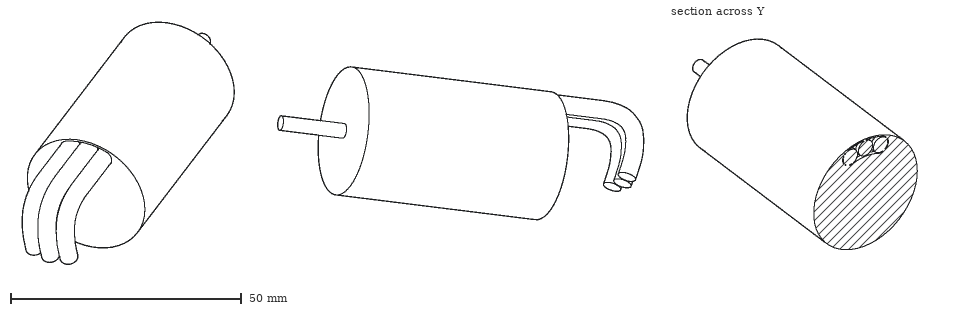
import cadquery as cq
import math

total_length = 84.5
body_diameter = 28.0
body_length = 47.1
rod_diameter = 3.2
rod_length = 14.9

wire_diameter = 4.0
wire_pitch = 4.05
wire_circle_radius = 11.5
wire_straight = 12.1
bend_drop = 5.8
end_drop = 14.5
end_setback = 1.9
end_angle = math.radians(19)

slot_clearance = 0.04
slot_depth = 1.7

wire_height = math.sqrt(wire_circle_radius**2 - wire_pitch**2)
middle_wire_offset = wire_circle_radius - wire_height

bend_reach = (total_length - rod_length - body_length - wire_straight
              - middle_wire_offset - wire_diameter / 2)


def cylinder_along_y(diameter, start_y, length, x=0, z=0):
    """Cylinder growing toward -Y from start_y."""
    return (
        cq.Workplane("XZ", origin=(x, start_y, z))
        .circle(diameter / 2)
        .extrude(length)
    )


def bent_wire(x, offset):
    """Straight wire ending in a hook, its centerline moved outward by offset."""
    start_y = -body_length + slot_depth
    bend_y = -body_length - wire_straight
    bend_z = wire_height + offset
    straight = cylinder_along_y(wire_diameter, start_y, start_y - bend_y, x, bend_z)

    turn_point = (x, bend_y - bend_reach - offset, wire_height - bend_drop)
    end_point = (
        x,
        bend_y - bend_reach + end_setback - offset * math.cos(end_angle),
        wire_height - end_drop - offset * math.sin(end_angle),
    )
    end_direction = (0, math.sin(end_angle), -math.cos(end_angle))
    centerline = cq.Workplane("XY").spline(
        [(x, bend_y, bend_z), turn_point, end_point],
        tangents=[(0, -1, 0), (0, 0, -1), end_direction],
    )
    hook = (
        cq.Workplane("XZ", origin=(x, bend_y, bend_z))
        .circle(wire_diameter / 2)
        .sweep(centerline)
    )
    return straight.union(hook)


def wire_slot():
    """Arc-shaped pocket with round ends, following the circle of the wires."""
    half_width = wire_diameter / 2 + slot_clearance
    inner = wire_circle_radius - half_width
    outer = wire_circle_radius + half_width
    side_x = wire_pitch / wire_circle_radius
    side_z = wire_height / wire_circle_radius
    cap_x = wire_pitch + half_width * side_z
    cap_z = wire_height - half_width * side_x
    return (
        cq.Workplane("XZ", origin=(0, -body_length + slot_depth, 0))
        .moveTo(-outer * side_x, outer * side_z)
        .threePointArc((0, outer), (outer * side_x, outer * side_z))
        .threePointArc((cap_x, cap_z), (inner * side_x, inner * side_z))
        .threePointArc((0, inner), (-inner * side_x, inner * side_z))
        .threePointArc((-cap_x, cap_z), (-outer * side_x, outer * side_z))
        .close()
        .extrude(slot_depth)
    )


body = cylinder_along_y(body_diameter, 0, body_length)
rod = cylinder_along_y(rod_diameter, rod_length, rod_length)
result = body.union(rod).cut(wire_slot())

for side in (-1, 0, 1):
    wire_offset = middle_wire_offset if side == 0 else 0
    result = result.union(bent_wire(side * wire_pitch, wire_offset))